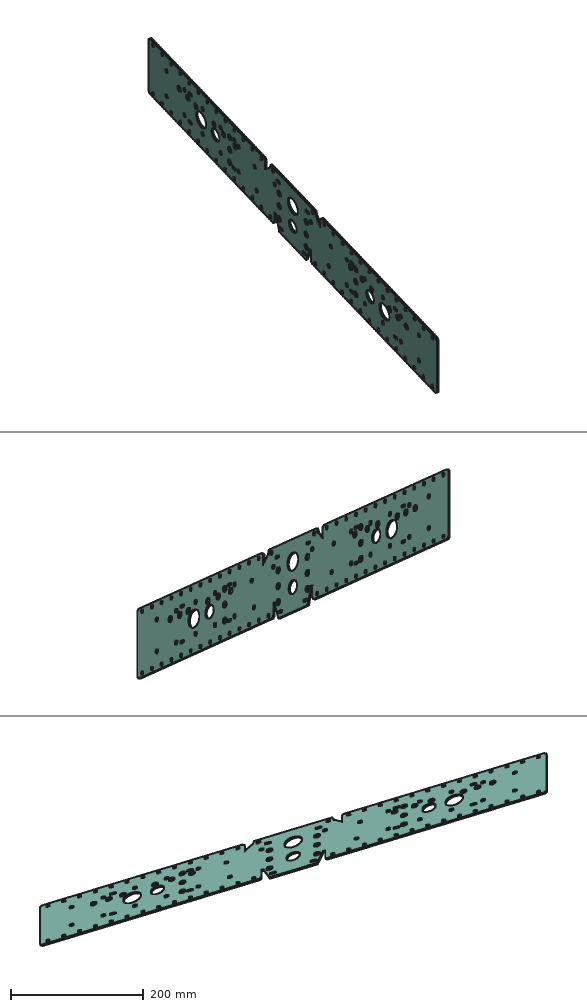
import cadquery as cq

LENGTH = 813.0
HEIGHT = 116.0
THICKNESS = 3.2
HALF_LENGTH = LENGTH / 2
TOP = HEIGHT / 2
BOTTOM = -HEIGHT / 2

WING_HEIGHT = 111.0
WING_BOTTOM = TOP - WING_HEIGHT
WING_MIDDLE = TOP - WING_HEIGHT / 2
CORNER_CHAMFER = 3.0

TOP_NOTCH_OUTER = 78.0
TOP_NOTCH_INNER = 62.5
TOP_NOTCH_DEPTH = 20.0
TOP_NOTCH_BEND_X = 65.0
TOP_NOTCH_BEND_DEPTH = 7.0
BOTTOM_NOTCH_OUTER = 51.0
BOTTOM_NOTCH_TIP = 48.0
BOTTOM_NOTCH_INNER = 38.0
BOTTOM_NOTCH_DEPTH = 23.5

PITCH = LENGTH / 32
EDGE_INSET = 6.5
FIRST_EDGE_HOLE = 2.5 * PITCH
EDGE_HOLE_COUNT = 14

EDGE_HOLE_DIAMETER = 5.6
INNER_HOLE_DIAMETER = 6.7
MEDIUM_DIAMETER = 10.0
BORE_DIAMETER = 22.0
LARGE_BORE_DIAMETER = 28.5
SLOT_LENGTH = 10.0
SLOT_WIDTH = 4.0


def both_sides(points):
    """Return the points together with their mirror images across X = 0."""
    return points + [(-x, z) for x, z in points]


def cut_holes(plate, points, diameter):
    """Drill round through holes at (x, z) points."""
    tool = cq.Workplane("XZ").pushPoints(points).circle(diameter / 2)
    return plate.cut(tool.extrude(THICKNESS / 2, both=True))


def make_plate():
    """Half outline from the top centre round to the bottom centre, extruded and mirrored."""
    half = (
        cq.Workplane("XZ")
        .moveTo(0, TOP)
        .lineTo(TOP_NOTCH_INNER, TOP)
        .lineTo(TOP_NOTCH_BEND_X, TOP - TOP_NOTCH_BEND_DEPTH)
        .lineTo(TOP_NOTCH_OUTER, TOP - TOP_NOTCH_DEPTH)
        .lineTo(TOP_NOTCH_OUTER, TOP)
        .lineTo(HALF_LENGTH, TOP)
        .lineTo(HALF_LENGTH, WING_BOTTOM)
        .lineTo(BOTTOM_NOTCH_OUTER, WING_BOTTOM)
        .lineTo(BOTTOM_NOTCH_OUTER, WING_BOTTOM + BOTTOM_NOTCH_DEPTH)
        .lineTo(BOTTOM_NOTCH_TIP, WING_BOTTOM + BOTTOM_NOTCH_DEPTH)
        .lineTo(BOTTOM_NOTCH_INNER, BOTTOM)
        .lineTo(0, BOTTOM)
        .close()
        .extrude(THICKNESS / 2, both=True)
    )
    half = half.edges("|Y and >X").chamfer(CORNER_CHAMFER)
    inner_wing_corners = ((TOP_NOTCH_OUTER, 0, TOP), (BOTTOM_NOTCH_OUTER, 0, WING_BOTTOM))
    for corner in inner_wing_corners:
        corner_edge = cq.selectors.NearestToPointSelector(corner)
        half = half.edges("|Y").edges(corner_edge).chamfer(CORNER_CHAMFER)
    return half.union(half.mirror("YZ"))


plate = make_plate()

edge_x = [FIRST_EDGE_HOLE + i * PITCH for i in range(EDGE_HOLE_COUNT)]
edge_holes = [(x, WING_BOTTOM + EDGE_INSET) for x in edge_x]
edge_holes += [(x, TOP - EDGE_INSET) for x in edge_x[1:]]
plate = cut_holes(plate, both_sides(edge_holes), EDGE_HOLE_DIAMETER)

upper_row = [(n * PITCH, WING_MIDDLE + PITCH) for n in (2, 6, 8, 10, 12, 14)]
lower_row = [(n * PITCH, WING_MIDDLE - PITCH) for n in (4, 6, 8, 10, 12, 14)]
plate = cut_holes(plate, both_sides(upper_row + lower_row), INNER_HOLE_DIAMETER)

NOTCH_HOLE_X = 56.0
SINGLE_HOLE_X = 107.0
SINGLE_HOLE_RISE = 19.0
single_holes = [(NOTCH_HOLE_X, TOP - EDGE_INSET), (SINGLE_HOLE_X, WING_MIDDLE + SINGLE_HOLE_RISE)]
plate = cut_holes(plate, both_sides(single_holes), INNER_HOLE_DIAMETER)

WING_COLUMN_X = 7 * PITCH
CENTRE_COLUMN_X = 38.0
CENTRE_COLUMN_TOP = 19.0
OUTER_GROUP_X = (273.0, 296.0, 320.0)
OUTER_GROUP_RISE = 16.0
INNER_GROUP_X = (162.5, 195.0, 222.0)
INNER_GROUP_RISE = 18.0
wing_column = [(WING_COLUMN_X, WING_MIDDLE + i * PITCH) for i in (-1, 0, 1)]
centre_column = [(CENTRE_COLUMN_X, CENTRE_COLUMN_TOP - i * PITCH) for i in range(3)]
outer_group = [(x, WING_MIDDLE + OUTER_GROUP_RISE) for x in OUTER_GROUP_X]
inner_group = [(x, WING_MIDDLE + INNER_GROUP_RISE) for x in INNER_GROUP_X]
medium_holes = wing_column + centre_column + outer_group + inner_group
plate = cut_holes(plate, both_sides(medium_holes), MEDIUM_DIAMETER)

LARGE_BORE_X = 258.5
BORE_X = 218.0
CENTRE_LARGE_BORE_Z = 22.0
CENTRE_BORE_Z = -19.0
large_bores = both_sides([(LARGE_BORE_X, WING_MIDDLE)]) + [(0, CENTRE_LARGE_BORE_Z)]
bores = both_sides([(BORE_X, WING_MIDDLE)]) + [(0, CENTRE_BORE_Z)]
plate = cut_holes(plate, large_bores, LARGE_BORE_DIAMETER)
plate = cut_holes(plate, bores, BORE_DIAMETER)

WING_SLOT_X = (166.0, 289.0)
WING_SLOT_OFFSET = 28.5
TOP_SLOT_X = 41.0
TOP_SLOT_Z = 41.0
BOTTOM_SLOT_X = 32.5
BOTTOM_SLOT_Z = -49.0
slots = [(x, WING_MIDDLE + side * WING_SLOT_OFFSET) for x in WING_SLOT_X for side in (1, -1)]
slots += [(TOP_SLOT_X, TOP_SLOT_Z), (BOTTOM_SLOT_X, BOTTOM_SLOT_Z)]
slot_tool = cq.Workplane("XZ").pushPoints(both_sides(slots)).slot2D(SLOT_LENGTH, SLOT_WIDTH)
plate = plate.cut(slot_tool.extrude(THICKNESS / 2, both=True))

result = plate